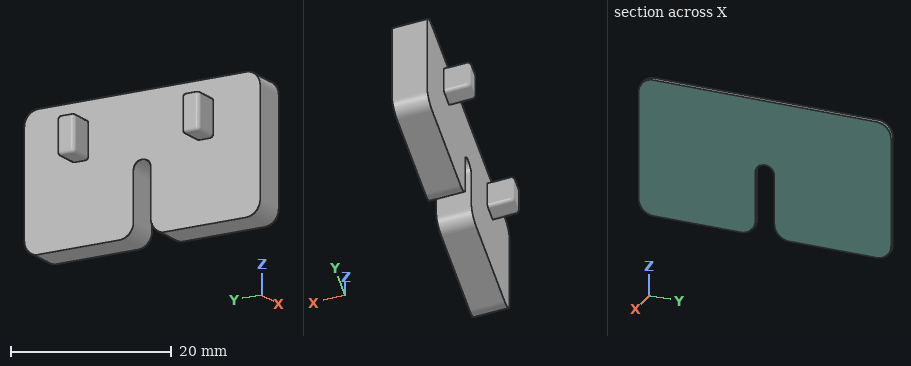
import cadquery as cq

plate_length = 34.0
plate_height = 19.0
plate_thickness = 4.6
corner_radius = 2.0

slot_width = 2.5
slot_depth = 10.0

peg_length = 3.5
peg_width = 2.5
peg_height = 5.25
peg_spacing = 18.0
peg_top_margin = 2.6
peg_fillet = 0.5


def make_plate():
    """Plate with its peg-side face at X = 0, centred on Y, bottom edge at Z = 0."""
    half_length = plate_length / 2
    half_slot = slot_width / 2
    arc_start = slot_depth - half_slot
    return (
        cq.Workplane("YZ")
        .moveTo(-half_length, 0)
        .lineTo(-half_slot, 0)
        .lineTo(-half_slot, arc_start)
        .threePointArc((0, slot_depth), (half_slot, arc_start))
        .lineTo(half_slot, 0)
        .lineTo(half_length, 0)
        .lineTo(half_length, plate_height)
        .lineTo(-half_length, plate_height)
        .close()
        .extrude(plate_thickness)
    )


def round_corners(plate):
    """Round the four outer corners and both sides of the slot mouth."""
    half_thickness = plate_thickness / 2
    half_length = plate_length / 2
    corners = [(y, z) for y in (-half_length, half_length) for z in (0, plate_height)]
    corners += [(-slot_width / 2, 0), (slot_width / 2, 0)]
    for y, z in corners:
        edge = cq.selectors.NearestToPointSelector((half_thickness, y, z))
        plate = plate.edges(edge).fillet(corner_radius)
    return plate


def make_peg(center_y):
    """Peg standing out from the X = 0 face, rounded everywhere except at its root."""
    center_z = plate_height - peg_top_margin - peg_height / 2
    return (
        cq.Workplane("YZ")
        .center(center_y, center_z)
        .rect(peg_width, peg_height)
        .extrude(-peg_length)
        .edges("|X or <X")
        .fillet(peg_fillet)
    )


result = round_corners(make_plate())
for side in (-1, 1):
    result = result.union(make_peg(side * peg_spacing / 2))